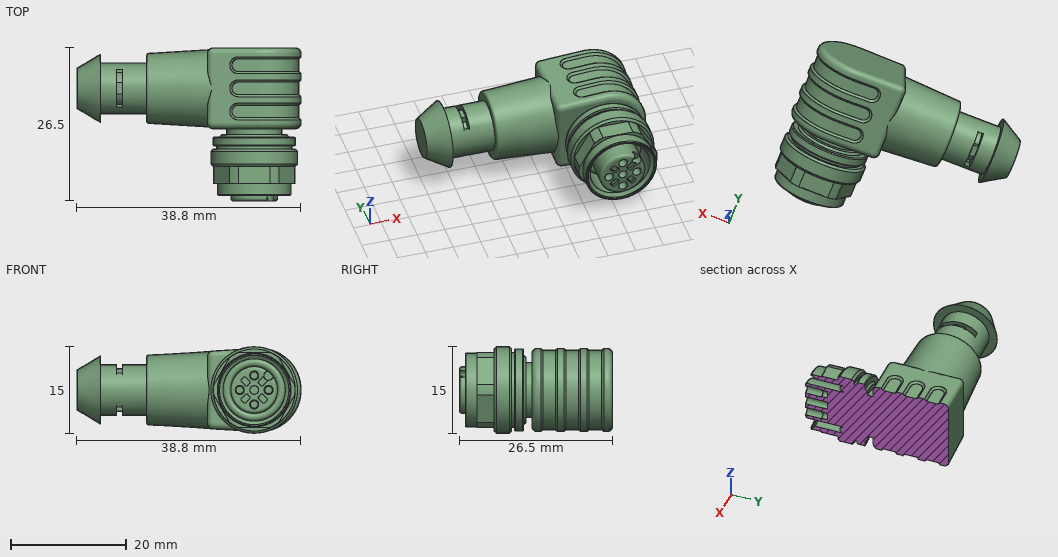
import cadquery as cq
import math


ORIGIN = (0, 0, 0)
X_AXIS = (1, 0, 0)
Y_AXIS = (0, 1, 0)

BLOCK_HALF_WIDTH = 7.0
BLOCK_REAR_X = -8.1
BLOCK_FRONT_X = 8.125
BLOCK_END_RADIUS = 7.225
BLOCK_END_X = BLOCK_FRONT_X - BLOCK_END_RADIUS
BLOCK_DRAFT = math.radians(3.43)
BLOCK_FILLET = 1.0

GROOVE_COUNT = 3
GROOVE_PITCH = 4.0
GROOVE_DEPTH = 0.4
GROOVE_MOUTH_HALF_WIDTH = 1.45
GROOVE_FLOOR_HALF_WIDTH = 1.08
GROOVE_OVERCUT = 0.6
GROOVE_START_X = -3.8

TIP_X = -30.625
TIP_RADIUS = 3.5
BARB_X = -26.6
BARB_RADIUS = 5.9
NECK_RADIUS = 4.4
SLEEVE_X = -18.6
SLEEVE_FILLET = 0.4
SLEEVE_END_X = BLOCK_REAR_X + BLOCK_FILLET
SLEEVE_CLEARANCE = 0.02

SLOT_X = -23.32
SLOT_WIDTH = 1.0
SLOT_HALF_LENGTH = 3.25
SLOT_FLOOR_HEIGHT = 0.5
SLOT_CORE_RADIUS = 2.8
SLOT_RIB_WIDTH = 2.0
SLOT_RIB_HEIGHT = 3.7

STEM_RADIUS = 4.8
COLLAR_Y = -8.0
COLLAR_TOP_RADIUS = 5.65
COLLAR_BASE_RADIUS = 6.0
FLANGE_Y = -8.4
FLANGE_RADIUS = 7.13
FLANGE_CHAMFER = 0.2
RELIEF_Y = -10.0
RELIEF_RADIUS = 6.5
RING_Y = -10.5
RING_RADIUS = 7.5
RING_CHAMFER = 0.4
HEX_Y = -13.5
HEX_ACROSS_FLATS = 13.0
HEX_TURN = 30
HEX_CORNER_RADIUS = 7.04
RIM_Y = -16.5
RIM_RADIUS = 6.38
RIM_END_Y = -18.5
RIM_CHAMFER = 0.15
BORE_RADIUS = 5.4
BORE_MOUTH_RADIUS = 6.0
BORE_MOUTH_DEPTH = 0.3
BORE_SHOULDER_LENGTH = 0.5
BORE_FLOOR_Y = -12.5

INSERT_RADIUS = 4.05
INSERT_END_Y = -19.5
INSERT_FILLET = 0.5
SEAL_RADIUS = (BORE_RADIUS + INSERT_RADIUS) / 2
SEAL_SECTION_RADIUS = (BORE_RADIUS - INSERT_RADIUS) / 2
PIN_CIRCLE_RADIUS = 2.5
PIN_HOLE_RADIUS = 0.65
PIN_MOUTH_RADIUS = 0.78
PIN_MOUTH_DEPTH = 3.0
PIN_COUNT = 4
CENTRE_HOLE_RADIUS = 0.75
PIN_HOLE_DEPTH = 4.0
POCKET_INNER_RADIUS = 1.35
POCKET_OUTER_RADIUS = 2.85
POCKET_WIDTH = 1.05
POCKET_CORNER_RADIUS = 0.25
POCKET_DEPTH = 0.5
KEY_RADIUS = 0.8
KEY_CENTRE_RADIUS = 3.5
KEY_ANGLE = 45
KEY_DEPTH = 1.5


def taper_half_height(x):
    """Half height of the drafted block faces at x."""
    run = (x - BLOCK_END_X) * math.sin(BLOCK_DRAFT)
    return (BLOCK_END_RADIUS + run) / math.cos(BLOCK_DRAFT)


def elbow_outline():
    """Drafted block outline with a round +X end, in the XZ plane."""
    tangent_x = BLOCK_END_X - BLOCK_END_RADIUS * math.sin(BLOCK_DRAFT)
    tangent_z = BLOCK_END_RADIUS * math.cos(BLOCK_DRAFT)
    rear_z = taper_half_height(BLOCK_REAR_X)
    return (
        cq.Workplane("XZ")
        .moveTo(BLOCK_REAR_X, -rear_z)
        .lineTo(tangent_x, -tangent_z)
        .threePointArc((BLOCK_FRONT_X, 0), (tangent_x, tangent_z))
        .lineTo(BLOCK_REAR_X, rear_z)
        .close()
    )


def groove_tool(y):
    """Sloped-wall groove along both drafted faces and round the end, centred at y."""
    floor_radius = BLOCK_END_RADIUS - GROOVE_DEPTH
    top_radius = BLOCK_END_RADIUS + GROOVE_OVERCUT
    wall_slope = (GROOVE_MOUTH_HALF_WIDTH - GROOVE_FLOOR_HALF_WIDTH) / GROOVE_DEPTH
    top_half_width = GROOVE_MOUTH_HALF_WIDTH + wall_slope * GROOVE_OVERCUT
    length = BLOCK_END_X - GROOVE_START_X - GROOVE_MOUTH_HALF_WIDTH

    corners = [
        (-GROOVE_FLOOR_HALF_WIDTH, floor_radius),
        (GROOVE_FLOOR_HALF_WIDTH, floor_radius),
        (top_half_width, top_radius),
        (-top_half_width, top_radius),
    ]
    bend_section = cq.Workplane("YZ").polyline(corners).close()
    run_section = cq.Workplane("YZ").polyline(corners).close()
    draft = math.degrees(BLOCK_DRAFT)
    bend = bend_section.revolve(180 + 2 * draft, ORIGIN, (1, 0, 0))
    bend = bend.rotate(ORIGIN, Y_AXIS, -draft)

    start_cone = cq.Workplane(cq.Solid.makeCone(
        GROOVE_FLOOR_HALF_WIDTH,
        top_half_width,
        top_radius - floor_radius,
        cq.Vector(-length, 0, floor_radius),
        cq.Vector(0, 0, 1),
    ))
    upper_run = run_section.extrude(-length).union(start_cone)
    upper_run = upper_run.rotate(ORIGIN, Y_AXIS, -draft)
    lower_run = upper_run.mirror("XY")
    return bend.union(upper_run).union(lower_run).translate((BLOCK_END_X, y, 0))


def make_block():
    """Drafted elbow block with rounded edges and grip grooves."""
    block = elbow_outline().extrude(BLOCK_HALF_WIDTH, both=True)
    block = block.edges().fillet(BLOCK_FILLET)
    for index in range(GROOVE_COUNT):
        y = (index - (GROOVE_COUNT - 1) / 2) * GROOVE_PITCH
        block = block.cut(groove_tool(y))
    return block


def make_cable_tail():
    """Barbed tip, neck and drafted sleeve, turned about the X axis."""
    sleeve_start_radius = taper_half_height(SLEEVE_X) - SLEEVE_CLEARANCE
    sleeve_end_radius = taper_half_height(SLEEVE_END_X) - SLEEVE_CLEARANCE
    tip_and_neck = (
        cq.Workplane("XY")
        .moveTo(TIP_X, 0)
        .lineTo(TIP_X, TIP_RADIUS)
        .lineTo(BARB_X, BARB_RADIUS)
        .lineTo(BARB_X, NECK_RADIUS)
        .lineTo(SLEEVE_END_X, NECK_RADIUS)
        .lineTo(SLEEVE_END_X, 0)
        .close()
        .revolve(360, ORIGIN, X_AXIS)
    )
    sleeve = (
        cq.Workplane("XY")
        .moveTo(SLEEVE_X, 0)
        .lineTo(SLEEVE_X, sleeve_start_radius)
        .lineTo(SLEEVE_END_X, sleeve_end_radius)
        .lineTo(SLEEVE_END_X, 0)
        .close()
        .revolve(360, ORIGIN, X_AXIS)
        .faces("<X").edges().fillet(SLEEVE_FILLET)
    )
    return tip_and_neck.union(sleeve)


def neck_slot_tool():
    """Upper and lower windows that leave a round core with an upright rib."""
    start = cq.Workplane("YZ", origin=(SLOT_X - SLOT_WIDTH / 2, 0, 0))
    window = start.rect(2 * SLOT_HALF_LENGTH, 2 * BARB_RADIUS).extrude(SLOT_WIDTH)
    web = start.rect(2 * SLOT_HALF_LENGTH, 2 * SLOT_FLOOR_HEIGHT).extrude(SLOT_WIDTH)
    core = start.circle(SLOT_CORE_RADIUS).extrude(SLOT_WIDTH)
    rib = start.rect(SLOT_RIB_WIDTH, 2 * SLOT_RIB_HEIGHT).extrude(SLOT_WIDTH)
    return window.cut(web).cut(core).cut(rib)


def disc(radius, start_y, end_y):
    """Cylinder about the Y axis from start_y towards -Y, down to end_y."""
    return cq.Workplane("XZ", origin=(0, start_y, 0)).circle(radius).extrude(start_y - end_y)


def make_coupling_body():
    """Stem, collar, flange, knurl ring, hexagon and open rim."""
    stem = disc(STEM_RADIUS, -BLOCK_HALF_WIDTH + BLOCK_FILLET, COLLAR_Y)
    collar = (
        cq.Workplane("XZ", origin=(0, COLLAR_Y, 0))
        .circle(COLLAR_TOP_RADIUS)
        .workplane(offset=COLLAR_Y - FLANGE_Y)
        .circle(COLLAR_BASE_RADIUS)
        .loft()
    )
    flange = disc(FLANGE_RADIUS, FLANGE_Y, RELIEF_Y).edges().chamfer(FLANGE_CHAMFER)
    relief = disc(RELIEF_RADIUS, RELIEF_Y, RING_Y)
    ring = disc(RING_RADIUS, RING_Y, HEX_Y).edges().chamfer(RING_CHAMFER)
    hexagon = (
        cq.Workplane("XZ", origin=(0, HEX_Y, 0))
        .polygon(6, HEX_ACROSS_FLATS, circumscribed=True)
        .extrude(HEX_Y - RIM_Y)
        .rotate(ORIGIN, Y_AXIS, HEX_TURN)
        .intersect(disc(HEX_CORNER_RADIUS, HEX_Y, RIM_Y))
    )
    rim = disc(RIM_RADIUS, RIM_Y, RIM_END_Y).faces("<Y").edges().chamfer(RIM_CHAMFER)

    body = stem
    for section in (collar, flange, relief, ring, hexagon, rim):
        body = body.union(section)
    return body


def bore_tool():
    """Stepped bore: a wide mouth, a conical shoulder and the main bore."""
    shoulder_y = RIM_END_Y + BORE_MOUTH_DEPTH
    shoulder = (
        cq.Workplane("XZ", origin=(0, shoulder_y + BORE_SHOULDER_LENGTH, 0))
        .circle(BORE_RADIUS)
        .workplane(offset=BORE_SHOULDER_LENGTH)
        .circle(BORE_MOUTH_RADIUS)
        .loft()
    )
    mouth = disc(BORE_MOUTH_RADIUS, shoulder_y, RIM_END_Y)
    return disc(BORE_RADIUS, BORE_FLOOR_Y, RIM_END_Y).union(shoulder).union(mouth)


def insert_face():
    """Workplane on the contact face, with X and Z as its in-plane axes."""
    return cq.Workplane("XZ", origin=(0, INSERT_END_Y, 0))


def pocket_tool(inner_radius, outer_radius, angle):
    """Shallow round-cornered radial pocket in the contact face."""
    length = outer_radius - inner_radius
    return (
        insert_face()
        .center((inner_radius + outer_radius) / 2, 0)
        .rect(length, POCKET_WIDTH)
        .extrude(-POCKET_DEPTH)
        .edges("|Y").fillet(POCKET_CORNER_RADIUS)
        .rotate(ORIGIN, Y_AXIS, -angle)
    )


def make_insert():
    """Contact insert with a seal ring at its root, sockets, pockets and key."""
    insert = disc(INSERT_RADIUS, BORE_FLOOR_Y, INSERT_END_Y)
    insert = insert.faces("<Y").edges().fillet(INSERT_FILLET)
    seal = cq.Workplane(cq.Solid.makeTorus(
        SEAL_RADIUS,
        SEAL_SECTION_RADIUS,
        cq.Vector(0, BORE_FLOOR_Y, 0),
        cq.Vector(0, 1, 0),
    ))
    insert = insert.union(seal)

    sockets = insert_face().polarArray(PIN_CIRCLE_RADIUS, 0, 360, PIN_COUNT)
    insert = insert.cut(sockets.circle(PIN_HOLE_RADIUS).extrude(-PIN_HOLE_DEPTH))
    mouths = insert_face().polarArray(PIN_CIRCLE_RADIUS, 0, 360, PIN_COUNT)
    insert = insert.cut(mouths.circle(PIN_MOUTH_RADIUS).extrude(-PIN_MOUTH_DEPTH))
    insert = insert.cut(insert_face().circle(CENTRE_HOLE_RADIUS).extrude(-PIN_HOLE_DEPTH))

    for index in range(PIN_COUNT):
        angle = KEY_ANGLE + index * 360 / PIN_COUNT
        outer_radius = KEY_CENTRE_RADIUS if index == 0 else POCKET_OUTER_RADIUS
        insert = insert.cut(pocket_tool(POCKET_INNER_RADIUS, outer_radius, angle))

    key = (
        insert_face()
        .center(KEY_CENTRE_RADIUS, 0)
        .circle(KEY_RADIUS)
        .center(KEY_RADIUS, 0)
        .rect(2 * KEY_RADIUS, 2 * KEY_RADIUS)
        .extrude(-KEY_DEPTH)
        .rotate(ORIGIN, Y_AXIS, -KEY_ANGLE)
    )
    return insert.cut(key)


tail = make_cable_tail().cut(neck_slot_tool())
coupling = make_coupling_body().cut(bore_tool()).union(make_insert())
result = make_block().union(tail).union(coupling)